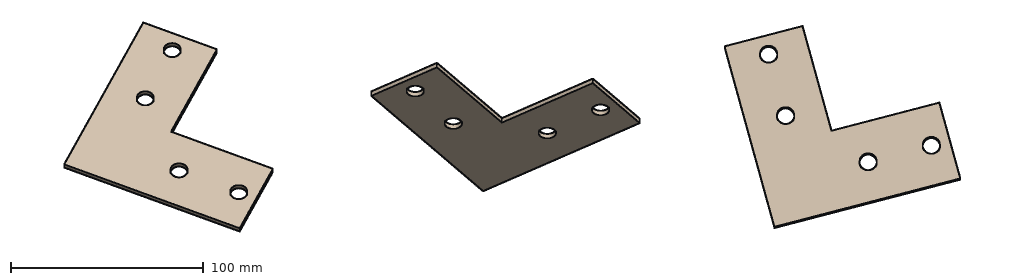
import cadquery as cq

side = 100.0
thickness = 3.0
leg_width = 42.0
hole_diameter = 9.0
hole_end_distance = 10.0
hole_spacing = 34.0

outline = [
    (0, 0),
    (side, 0),
    (side, leg_width),
    (leg_width, leg_width),
    (leg_width, side),
    (0, side),
]
plate = cq.Workplane("XY").polyline(outline).close().extrude(thickness)

centreline = leg_width / 2
outer_hole = side - hole_end_distance
inner_hole = outer_hole - hole_spacing
hole_centres = []
for along in (inner_hole, outer_hole):
    hole_centres.append((along, centreline))
    hole_centres.append((centreline, along))

holes = (
    cq.Workplane("XY")
    .pushPoints(hole_centres)
    .circle(hole_diameter / 2)
    .extrude(thickness)
)

result = plate.cut(holes)